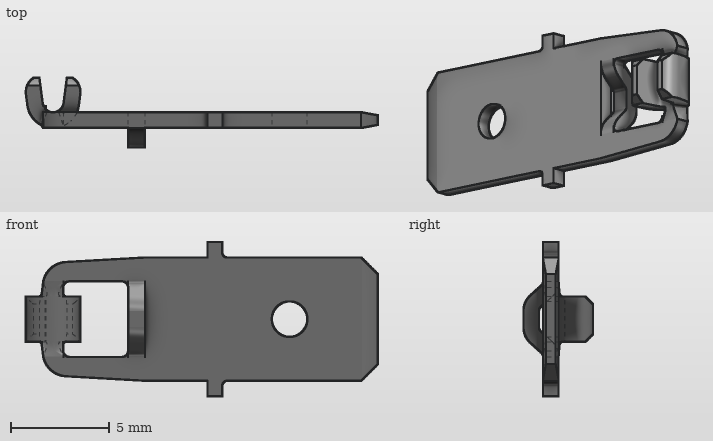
import math

import cadquery as cq

thickness = 0.8
blade_half_height = 3.15
blade_end = 17.96

tip_length = 0.8
tip_corner = 0.85
tip_face_relief = 0.15

ear_left = 9.27
ear_right = 10.03
ear_half_span = 3.935
ear_root_radius = 0.25

hole_x = 13.46
hole_diameter = 1.8

window_left = 1.92
window_right = 6.08
window_half_height = 1.92
window_corner_radius = 0.3
shoulder_left = 0.89
taper_start = 2.05
taper_start_half_height = 2.92

bridge_left = 5.22
bridge_height = 1.0
bridge_bend = math.radians(48)
bridge_root_radius = 0.28
bridge_bend_radius = 1.08
bridge_anchor = 0.3

clip_half_height = 1.16
clip_radius = 1.33
clip_lean = math.radians(7.5)
clip_back = 2.56
leg_straight_length = 0.56
leg_tip_radius = 0.87
leg_tip_chamfer = 0.4
leg_bulge = leg_straight_length * math.sin(clip_lean) + leg_tip_radius * (1 - math.cos(clip_lean))
clip_x = clip_radius * math.cos(clip_lean) + leg_bulge

neck_left_angle = math.radians(27)
neck_right_angle = math.radians(23.3)
neck_fillet = 0.15
neck_height = window_half_height - clip_half_height

blank_half_width = 1.0
blank_angle = math.radians(58)
envelope_near_radius = 0.25
envelope_far_radius = 2.0


def make_plate():
    """Flat plate outline with rounded shoulders, ears and a chamfered blade tip."""
    upper = (
        cq.Workplane("XZ")
        .moveTo(shoulder_left, 0)
        .lineTo(blade_end, 0)
        .lineTo(blade_end, blade_half_height - tip_corner)
        .lineTo(blade_end - tip_corner, blade_half_height)
        .lineTo(ear_right + ear_root_radius, blade_half_height)
        .radiusArc((ear_right, blade_half_height + ear_root_radius), ear_root_radius)
        .lineTo(ear_right, ear_half_span)
        .lineTo(ear_left, ear_half_span)
        .lineTo(ear_left, blade_half_height)
        .lineTo(window_right, blade_half_height)
        .lineTo(taper_start, taper_start_half_height)
        .tangentArcPoint((shoulder_left, window_half_height), relative=False)
        .close()
        .extrude(-thickness)
    )
    return upper.union(upper.mirror("XY"))


def cut_tip_relief(body):
    """Thin the blade tip with a sloping face on the front and on the back."""
    tip_start = blade_end - tip_length
    front = (
        cq.Workplane("XY")
        .polyline([(tip_start, 0), (blade_end, 0), (blade_end, tip_face_relief)])
        .close()
        .extrude(blade_half_height, both=True)
    )
    back = front.mirror("XZ").translate((0, thickness, 0))
    return body.cut(front).cut(back)


def cut_hole(body):
    """Round hole through the blade."""
    hole = cq.Workplane("XZ").center(hole_x, 0).circle(hole_diameter / 2).extrude(-thickness)
    return body.cut(hole)


def make_block(x_start, x_end, half_height):
    """Block through the full plate thickness."""
    size = (x_end - x_start, thickness, 2 * half_height)
    return cq.Workplane("XY").box(*size, centered=(False, False, True)).translate((x_start, 0, 0))


def cut_window(body):
    """Open the window, leaving room for the bridge on one side and the necks and clip on the other."""
    opening = make_block(window_left, bridge_left, window_half_height).edges("|Y").fillet(window_corner_radius)
    bridge_gap = make_block(bridge_left, window_right, window_half_height)
    bar = make_block(shoulder_left, window_left, window_half_height)
    return body.cut(opening).cut(bridge_gap).cut(bar)


def round_bridge_corners(body, y, z, radius):
    """Round the pair of bridge corners at height z above and below the middle."""
    mid_x = (bridge_left + window_right) / 2
    for side in (1, -1):
        edge = cq.selectors.NearestToPointSelector((mid_x, y, side * z))
        body = body.edges("|X").edges(edge).fillet(radius)
    return body


def make_bridge():
    """Strip of constant thickness bowed forward out of the window, its ends running on into the arms."""
    half_bend = math.tan(bridge_bend / 2)
    root_z = window_half_height - bridge_root_radius * half_bend
    crest_z = root_z - bridge_height / math.tan(bridge_bend)
    inset = thickness * half_bend
    end_z = window_half_height + bridge_anchor
    front = [(0, end_z), (0, root_z), (-bridge_height, crest_z)]
    back = [
        (thickness - bridge_height, crest_z - inset),
        (thickness, root_z - inset),
        (thickness, end_z),
    ]
    outline = (
        front
        + [(y, -z) for y, z in reversed(front)]
        + [(y, -z) for y, z in reversed(back)]
        + back
    )
    strip = (
        cq.Workplane("YZ", origin=(bridge_left, 0, 0))
        .polyline(outline)
        .close()
        .extrude(window_right - bridge_left)
    )
    strip = round_bridge_corners(strip, *front[1], bridge_root_radius)
    strip = round_bridge_corners(strip, *front[2], bridge_bend_radius)
    strip = round_bridge_corners(strip, *back[0], bridge_bend_radius - thickness)
    return round_bridge_corners(strip, *back[1], bridge_root_radius + thickness)


def clip_point(radius, angle):
    """Point on a circle about the clip axis; the angle is measured from straight forward."""
    return (clip_x + radius * math.sin(angle), clip_radius - radius * math.cos(angle))


def make_clip():
    """U-shaped clip: round bottom, legs leaning apart, rounded and chamfered leg tips."""
    inner_radius = clip_radius - thickness
    leg_angle = math.pi / 2 - clip_lean
    lean_x = math.sin(clip_lean)
    lean_y = math.cos(clip_lean)

    outer_foot = clip_point(clip_radius, leg_angle)
    inner_foot = clip_point(inner_radius, leg_angle)
    shoulder = (outer_foot[0] + leg_straight_length * lean_x, outer_foot[1] + leg_straight_length * lean_y)
    tip_center = (shoulder[0] - leg_tip_radius * lean_y, shoulder[1] + leg_tip_radius * lean_x)
    tip_outer_x = tip_center[0] + math.sqrt(leg_tip_radius**2 - (clip_back - tip_center[1]) ** 2)
    tip_inner_x = inner_foot[0] + (clip_back - inner_foot[1]) * math.tan(clip_lean)

    half = (
        cq.Workplane("XY")
        .moveTo(clip_x, 0)
        .radiusArc(outer_foot, -clip_radius)
        .lineTo(*shoulder)
        .radiusArc((tip_outer_x, clip_back), -leg_tip_radius)
        .lineTo(tip_inner_x, clip_back)
        .lineTo(*inner_foot)
        .radiusArc((clip_x, thickness), inner_radius)
        .close()
        .extrude(clip_half_height, both=True)
    )
    other_half = half.mirror("YZ", (clip_x, 0, 0))
    clip = half.union(other_half)
    return clip.faces(">Y").edges(">Z or <Z").chamfer(leg_tip_chamfer)


def make_neck_blank():
    """Oversize transition from the flat plate section to the round bottom of the clip."""
    blank_left = clip_x - blank_half_width
    blank_right = clip_x + blank_half_width
    flat_section = (
        cq.Workplane("XY", origin=(0, 0, window_half_height))
        .polyline([(blank_left, 0), (blank_right, 0), (blank_right, thickness), (blank_left, thickness)])
        .close()
    )
    inner_radius = clip_radius - thickness
    return (
        flat_section.workplane(offset=-neck_height)
        .moveTo(*clip_point(clip_radius, -blank_angle))
        .threePointArc(clip_point(clip_radius, 0), clip_point(clip_radius, blank_angle))
        .lineTo(*clip_point(inner_radius, blank_angle))
        .threePointArc(clip_point(inner_radius, 0), clip_point(inner_radius, -blank_angle))
        .close()
        .loft(ruled=True)
    )


def make_neck_envelope():
    """Volume between the neck sides, standing on a slab and filleted where the sides meet it."""
    front = clip_radius - envelope_far_radius
    back = clip_radius - envelope_near_radius
    corners = [(shoulder_left, front), (window_left, front), (window_left, back), (shoulder_left, back)]
    sides = (
        cq.Workplane("XY", origin=(0, 0, window_half_height))
        .polyline(corners)
        .close()
        .workplane(offset=-neck_height)
        .moveTo(*clip_point(envelope_far_radius, -neck_left_angle))
        .lineTo(*clip_point(envelope_far_radius, neck_right_angle))
        .lineTo(*clip_point(envelope_near_radius, neck_right_angle))
        .lineTo(*clip_point(envelope_near_radius, -neck_left_angle))
        .close()
        .loft(ruled=True)
    )
    slab_size = 4 * envelope_far_radius
    slab = (
        cq.Workplane("XY")
        .box(slab_size, slab_size, clip_half_height, centered=(True, True, False))
        .translate((clip_x, clip_radius, 0))
    )
    envelope = slab.union(sides)
    mean_radius = (envelope_near_radius + envelope_far_radius) / 2
    for angle in (-neck_left_angle, neck_right_angle):
        corner = clip_point(mean_radius, angle) + (clip_half_height,)
        envelope = envelope.edges(cq.selectors.NearestToPointSelector(corner)).fillet(neck_fillet)
    return envelope


body = cut_tip_relief(make_plate())
body = cut_hole(body)
body = cut_window(body)
body = body.union(make_bridge()).union(make_clip())
neck = make_neck_blank().intersect(make_neck_envelope())
result = body.union(neck).union(neck.mirror("XY"))